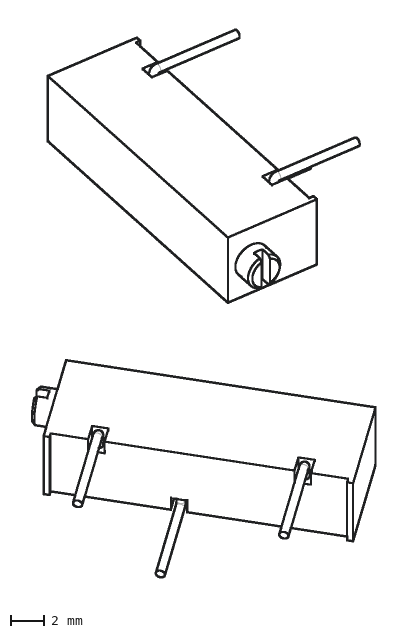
import cadquery as cq

overall_length = 20.57
screw_length = 1.52
body_length = overall_length - screw_length
body_depth = 6.21
body_height = 5.02
standoff_height = 0.3
standoff_length = 0.37

overall_height = 5.62
pin_diameter = 0.58
pin_radius = pin_diameter / 2
pin_axis_height = overall_height / 2 - pin_radius
pin_tip = 11.66
middle_pin_tip = 11.6
bend_start = 5.88
bend_radius = 0.3
first_pin_x = 3.17
middle_pin_x = 10.78
last_pin_x = 15.85
pocket_width = 1.0
pocket_length = 1.13
pocket_depth = 1.0

screw_diameter = 2.37
screw_y = 1.73
screw_chamfer = 0.19
slot_width = 0.62
slot_depth = 0.8


def make_body():
    """Rectangular body with a standoff strip at each end of the +Y face."""
    return (
        cq.Workplane("XY")
        .polyline([
            (0, 0),
            (body_length, 0),
            (body_length, body_depth + standoff_height),
            (body_length - standoff_length, body_depth + standoff_height),
            (body_length - standoff_length, body_depth),
            (standoff_length, body_depth),
            (standoff_length, body_depth + standoff_height),
            (0, body_depth + standoff_height),
        ])
        .close()
        .extrude(body_height / 2, both=True)
    )


def make_pocket(x):
    """Pocket in the top face, open towards +Y."""
    return cq.Workplane("XY").box(
        pocket_width, pocket_length, pocket_depth, centered=(True, False, False)
    ).translate((x, body_depth - pocket_length, body_height / 2 - pocket_depth))


def make_pin(x, tip):
    """Round wire along Y, with a tight bend down into the pocket floor."""
    bend_bottom = pin_axis_height - bend_radius
    leg_length = bend_bottom - (body_height / 2 - pocket_depth)
    straight = (
        cq.Workplane("XZ", origin=(x, bend_start, pin_axis_height))
        .circle(pin_radius)
        .extrude(bend_start - tip)
    )
    bend = (
        cq.Workplane("XZ", origin=(x, bend_start, pin_axis_height))
        .circle(pin_radius)
        .revolve(90, (-0.2, -bend_radius), (0.2, -bend_radius))
    )
    leg = (
        cq.Workplane("XY", origin=(x, bend_start - bend_radius, bend_bottom))
        .circle(pin_radius)
        .extrude(-leg_length)
    )
    return straight.union(bend).union(leg)


def make_screw():
    """Chamfered cylinder with a screwdriver slot running along Z."""
    screw = (
        cq.Workplane("YZ", origin=(body_length, screw_y, 0))
        .circle(screw_diameter / 2)
        .extrude(screw_length)
        .faces(">X")
        .chamfer(screw_chamfer)
    )
    slot = cq.Workplane("XY").box(
        slot_depth, slot_width, screw_diameter
    ).translate((overall_length - slot_depth / 2, screw_y, 0))
    return screw.cut(slot)


def flip_to_bottom(shape):
    """Mirror a top-side feature to the bottom face."""
    return shape.mirror("XY")


result = make_body().union(make_screw())

for pin_x in (first_pin_x, last_pin_x):
    result = result.cut(make_pocket(pin_x)).union(make_pin(pin_x, pin_tip))

result = result.cut(flip_to_bottom(make_pocket(middle_pin_x)))
result = result.union(flip_to_bottom(make_pin(middle_pin_x, middle_pin_tip)))